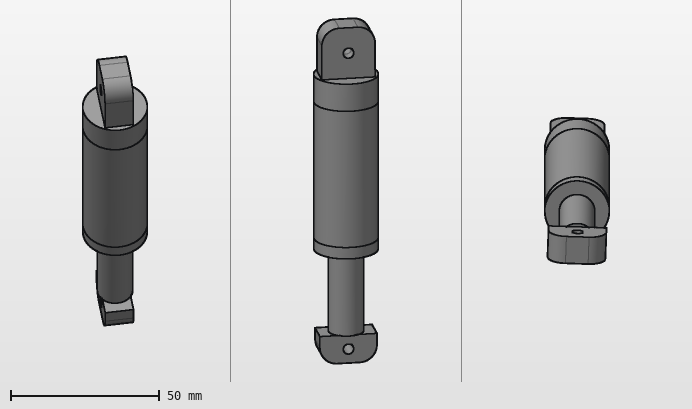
import cadquery as cq

total_height = 119.0
rod_lug_height = 10.0
rod_length = 29.0
gland_height = 4.0
barrel_height = 48.3
cap_height = 9.6

gland_base = rod_lug_height + rod_length
barrel_base = gland_base + gland_height
cap_base = barrel_base + barrel_height
cap_lug_base = cap_base + cap_height
cap_lug_height = total_height - cap_lug_base

body_diameter = 21.8
rod_diameter = 12.0

lug_thickness = 9.6
lug_angle = -27.5
lug_corner_radius = 6.0
cap_lug_width = 18.2
rod_lug_width = 19.5
pin_hole_diameter = 3.6
cap_hole_height = total_height - 9.0
rod_hole_height = rod_lug_height / 2


def cylinder(diameter, base, height):
    """Solid cylinder on the Z axis."""
    return cq.Workplane("XY").workplane(offset=base).circle(diameter / 2).extrude(height)


def lug_blank(width, base, height, rounded_edges):
    """Flat lug with the chosen end rounded and turned about Z."""
    return (
        cq.Workplane("XY")
        .workplane(offset=base)
        .rect(width, lug_thickness)
        .extrude(height)
        .faces(rounded_edges)
        .edges("|Y")
        .fillet(lug_corner_radius)
        .rotate((0, 0, 0), (0, 0, 1), lug_angle)
    )


def pin_hole(height):
    """Cutter for a hole through the full thickness of a lug."""
    return (
        cq.Workplane("XZ")
        .center(0, height)
        .circle(pin_hole_diameter / 2)
        .extrude(lug_thickness, both=True)
        .rotate((0, 0, 0), (0, 0, 1), lug_angle)
    )


def make_cap():
    """Round end cap with its upper mounting lug."""
    lug = lug_blank(cap_lug_width, cap_lug_base, cap_lug_height, ">Z")
    return cylinder(body_diameter, cap_base, cap_height).union(lug).cut(pin_hole(cap_hole_height))


def make_barrel():
    """Main body of the cylinder."""
    return cylinder(body_diameter, barrel_base, barrel_height)


def make_gland():
    """Thin disc closing the rod end of the barrel."""
    return cylinder(body_diameter, gland_base, gland_height)


def make_rod():
    """Rod reaching the gland, with its lower mounting lug."""
    lug = lug_blank(rod_lug_width, 0, rod_lug_height, "<Z").cut(pin_hole(rod_hole_height))
    return cylinder(rod_diameter, rod_lug_height, rod_length).union(lug)


cap = make_cap()
barrel = make_barrel()
gland = make_gland()
rod = make_rod()

result = cq.Compound.makeCompound([cap.val(), barrel.val(), gland.val(), rod.val()])